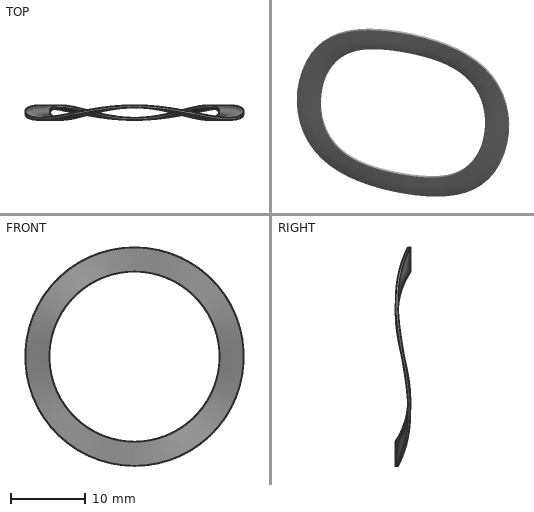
import math

import cadquery as cq

outer_radius = 14.72
inner_radius = 11.43
overall_height = 2.03
thickness = 0.34
wave_count = 3
spline_steps = 36

wave_amplitude = (overall_height - thickness) / 2


def rim_point(radius, offset, angle):
    """Point on a rim; angle is measured from +Z towards +X."""
    return cq.Vector(
        radius * math.sin(angle),
        wave_amplitude * math.cos(wave_count * angle) + offset,
        radius * math.cos(angle),
    )


def rim_edge(radius, offset, start_angle):
    """Half-turn wavy edge running from a crest to a trough, or back."""
    angles = [start_angle + math.pi * i / spline_steps for i in range(spline_steps + 1)]
    points = [rim_point(radius, offset, angle) for angle in angles]
    return cq.Edge.makeSpline(points)


def half_ring_faces(start_angle):
    """Four ruled faces around the rectangular section of one half of the ring."""
    section_corners = [
        (inner_radius, -thickness / 2),
        (outer_radius, -thickness / 2),
        (outer_radius, thickness / 2),
        (inner_radius, thickness / 2),
    ]
    edges = [rim_edge(radius, offset, start_angle) for radius, offset in section_corners]
    next_edges = edges[1:] + edges[:1]
    return [cq.Face.makeRuledSurface(a, b) for a, b in zip(edges, next_edges)]


faces = half_ring_faces(0) + half_ring_faces(math.pi)
result = cq.Workplane("XY").newObject([cq.Solid.makeSolid(cq.Shell.makeShell(faces))])